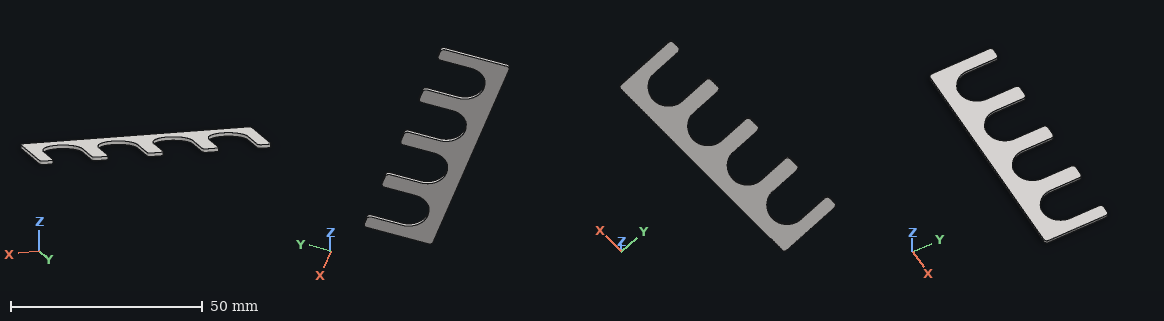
import cadquery as cq

length = 63.0
width = 19.0
thickness = 1.0
corner_radius = 1.0

slot_count = 4
slot_pitch = 15.0
slot_width = 10.5
spine_width = 4.25

slot_radius = slot_width / 2
slot_arc_y = spine_width + slot_radius


def make_plate():
    return cq.Workplane("XY").box(length, width, thickness, centered=(True, False, False))


def make_slot(center_x):
    left = center_x - slot_radius
    right = center_x + slot_radius
    return (
        cq.Workplane("XY")
        .moveTo(left, width)
        .lineTo(left, slot_arc_y)
        .threePointArc((center_x, spine_width), (right, slot_arc_y))
        .lineTo(right, width)
        .close()
        .extrude(thickness)
    )


def round_corners(body):
    """Round the two spine corners and both corners of every finger tip."""
    spine_corners = body.faces("<Y").edges("|Z")
    tip_corners = body.faces(">Y").edges("|Z")
    return spine_corners.add(tip_corners).fillet(corner_radius)


comb = make_plate()
first_slot_x = -slot_pitch * (slot_count - 1) / 2
for index in range(slot_count):
    comb = comb.cut(make_slot(first_slot_x + index * slot_pitch))

result = round_corners(comb)